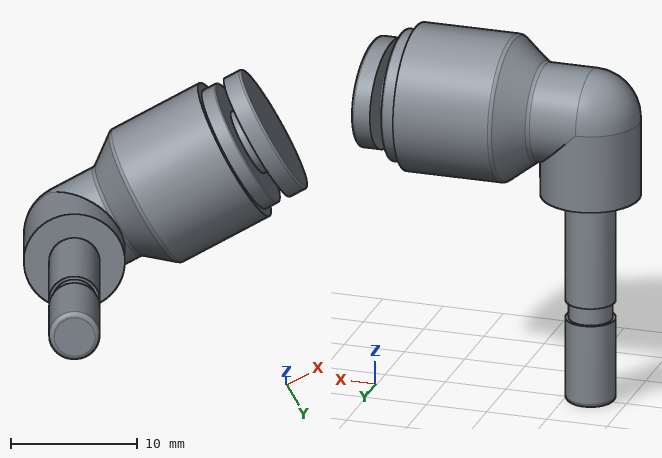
import cadquery as cq


elbow_diameter = 8.0
elbow_radius = elbow_diameter / 2
elbow_drop = 6.5
stem_diameter = 4.0
stem_tip_fillet = 0.4
groove_diameter = 3.5
groove_top_drop = 15.5
groove_width = 1.5

socket_diameter = 11.9
socket_radius = socket_diameter / 2
cone_start = elbow_radius
cone_end = 6.5
socket_end = 14.5
cone_edge_fillet = 0.5

overall_height = 29.95
stem_end_drop = overall_height - socket_radius

ring_diameter = 10.6
ring_width = 1.2
ring_fillet = 0.1

neck_diameter = 5.5
head_width = 10.9
head_height = 8.57
head_start = 16.55
head_fillet = 0.18
neck_fillet = 0.15
overall_length = 22.1
head_end = overall_length - elbow_radius


def x_cylinder(diameter, start, end):
    """Cylinder on the socket axis between two X positions."""
    return cq.Workplane("YZ", origin=(start, 0, 0)).circle(diameter / 2).extrude(end - start)


def z_cylinder(diameter, top_drop, bottom_drop):
    """Cylinder on the stem axis between two distances below the socket axis."""
    return cq.Workplane("XY", origin=(0, 0, -bottom_drop)).circle(diameter / 2).extrude(bottom_drop - top_drop)


def circular_edge_at(shape, position):
    """Select the circular edge whose centre lies on the socket axis at this X position."""
    return shape.edges("%CIRCLE").edges(cq.selectors.NearestToPointSelector((position, 0, 0)))


def make_socket():
    """Elbow arm, cone and socket barrel turned about X, with both cone edges rounded."""
    profile = (
        cq.Workplane("XZ")
        .moveTo(0, 0)
        .lineTo(0, elbow_radius)
        .lineTo(cone_start, elbow_radius)
        .lineTo(cone_end, socket_radius)
        .lineTo(socket_end, socket_radius)
        .lineTo(socket_end, 0)
        .close()
    )
    socket = profile.revolve(360, (0, 0, 0), (1, 0, 0))
    for edge_position in (cone_start, cone_end):
        socket = circular_edge_at(socket, edge_position).fillet(cone_edge_fillet)
    return socket


def make_stem():
    """Plug-in stem with a rounded tip and a retaining groove."""
    stem = z_cylinder(stem_diameter, elbow_drop, stem_end_drop)
    stem = stem.faces("<Z").edges().fillet(stem_tip_fillet)
    groove_bottom_drop = groove_top_drop + groove_width
    groove_core = z_cylinder(groove_diameter, groove_top_drop, groove_bottom_drop)
    groove = z_cylinder(stem_diameter, groove_top_drop, groove_bottom_drop).cut(groove_core)
    return stem.cut(groove)


def make_body():
    """Elbow body: a ball corner joining the socket to the downward leg and its stem."""
    corner = cq.Workplane("XY").sphere(elbow_radius)
    leg = z_cylinder(elbow_diameter, 0, elbow_drop)
    return make_socket().union(leg).union(corner).union(make_stem())


def make_guide_ring():
    """Ring on the socket's end face, bored to pass the sleeve neck."""
    ring_end = socket_end + ring_width
    ring = x_cylinder(ring_diameter, socket_end, ring_end)
    ring = ring.faces(">X").edges().fillet(ring_fillet)
    return ring.cut(x_cylinder(neck_diameter, socket_end, ring_end))


def make_release_sleeve():
    """Round neck through the guide ring, carrying an elliptical push head."""
    head_thickness = head_end - head_start
    head_plane = cq.Workplane("YZ", origin=(head_start, 0, 0))
    head = head_plane.ellipse(head_width / 2, head_height / 2).extrude(head_thickness)
    head = head.faces(">X").edges().fillet(head_fillet)
    sleeve = head.union(x_cylinder(neck_diameter, socket_end, head_start))
    return circular_edge_at(sleeve, head_start).fillet(neck_fillet)


body = make_body()
guide_ring = make_guide_ring()
release_sleeve = make_release_sleeve()

result = cq.Compound.makeCompound([body.val(), guide_ring.val(), release_sleeve.val()])